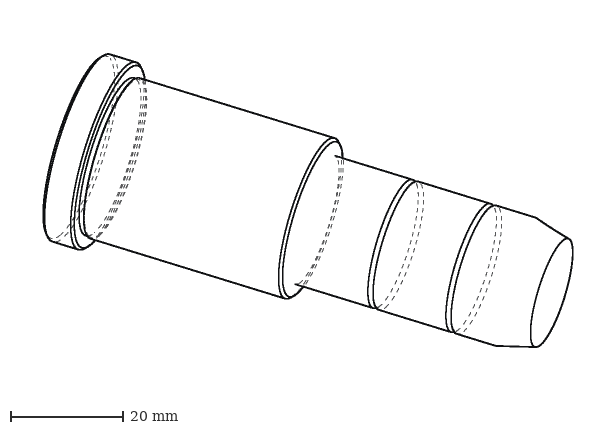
import cadquery as cq
import math

length = 91.0
head_diameter = 35.0
body_diameter = 30.0
shaft_diameter = 24.0

head_end = 6.0
neck_end = 7.0
body_end = 45.0
groove_centers = (61.0, 76.0)
tip_start = 84.0

head_chamfer = 0.5
neck_depth = 0.3
body_chamfer = 0.55
root_fillet = 0.55
groove_width = 1.0
groove_depth = 0.4
tip_angle = 15.0

head_radius = head_diameter / 2
body_radius = body_diameter / 2
shaft_radius = shaft_diameter / 2


def cylinder(start, end, radius):
    """Solid cylinder along X between two axial positions."""
    return cq.Workplane("YZ", origin=(start, 0, 0)).circle(radius).extrude(end - start)


def revolve_about_axis(profile):
    """Turn a closed XY profile about the X axis."""
    return profile.close().revolve(360, (0, 0, 0), (1, 0, 0))


def make_head():
    """Flange with both rims chamfered."""
    return cylinder(0, head_end, head_radius).edges().chamfer(head_chamfer)


def make_body():
    """Thick cylinder with a shallow relief neck behind the head."""
    neck = cylinder(head_end, neck_end, body_radius - neck_depth)
    body = cylinder(neck_end, body_end, body_radius).faces(">X").edges().chamfer(body_chamfer)
    return neck.union(body)


def make_shaft():
    """Shaft with a concave root fillet and a conical lead-in tip."""
    root_angle = math.radians(45)
    root_mid = (
        body_end + root_fillet * (1 - math.cos(root_angle)),
        shaft_radius + root_fillet * (1 - math.sin(root_angle)),
    )
    tip_radius = shaft_radius - (length - tip_start) * math.tan(math.radians(tip_angle))
    profile = (
        cq.Workplane("XY")
        .moveTo(body_end, 0)
        .lineTo(body_end, shaft_radius + root_fillet)
        .threePointArc(root_mid, (body_end + root_fillet, shaft_radius))
        .lineTo(tip_start, shaft_radius)
        .lineTo(length, tip_radius)
        .lineTo(length, 0)
    )
    return revolve_about_axis(profile)


def make_groove(center):
    """Ring that cuts a shallow round-bottomed groove in the shaft."""
    profile = (
        cq.Workplane("XY")
        .moveTo(center - groove_width / 2, shaft_radius)
        .threePointArc(
            (center, shaft_radius - groove_depth),
            (center + groove_width / 2, shaft_radius),
        )
    )
    return revolve_about_axis(profile)


result = make_head().union(make_body()).union(make_shaft())
for groove_center in groove_centers:
    result = result.cut(make_groove(groove_center))